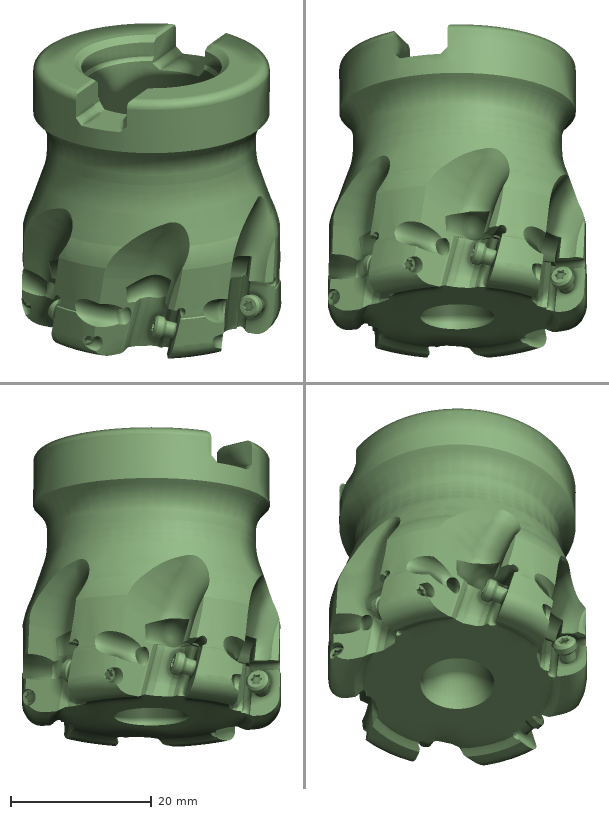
import cadquery as cq
import math


TEETH = 6
TOOTH_ANGLE = 360 / TEETH

TOTAL_HEIGHT = 39.23
FLANGE_RADIUS = 16.85
FLANGE_FILLET = 1.35
FLANGE_BOTTOM = 31.5
FLANGE_CHAMFER = 0.65
NECK_RADIUS = 14.9
NECK_TOP = 27.3
NECK_BOTTOM = 25.9
CONE_TOP_RADIUS = 15.77
CONE_TOP = 21.8
CONE_BOTTOM_RADIUS = 17.35
CONE_BOTTOM = 17.25
SHOULDER_RADIUS = 18.35
SHOULDER_TOP = 14.12
CROWN_DIAMETER = 37.0
CROWN_RADIUS = CROWN_DIAMETER / 2
CROWN_TOP = 6.63
CROWN_CORNER = 2.7
FLANGE_CURVE_BULGE = 0.45
NECK_CURVE_BULGE = 0.2
SHOULDER_BULGE = 0.1

THROUGH_RADIUS = 5.3
THROUGH_CHAMFER = 0.45
BORE_RADIUS = 9.55
BORE_STEP_HEIGHT = 27.85
LOWER_BORE_RADIUS = 9.2
BORE_FLOOR = 20.4
RIM_RADIUS = 10.05
RIM_BOTTOM = 36.33
RIM_CHAMFER_WIDTH = 1.05
RIM_CHAMFER_DEPTH = 0.8
RECESS_RADIUS = 13.55
RECESS_RIM_RADIUS = 14.7
RECESS_DEPTH = 0.6

SLOT_WIDTH = 8.1
SLOT_DEPTH = 4.8
SLOT_FLOOR_CHAMFER = 1.0
SLOT_EDGE_CHAMFER = 0.35

FLUTE_OUT = 13.75
FLUTE_SIDE = -2.63
FLUTE_HEIGHT = 11.2
FLUTE_LEAN = 15
FLUTE_FLOOR_TILT = 27
FLUTE_FILLET = 3.15
FLUTE_UNDERCUT = 42
FLUTE_WALL_SLOPE = 0.3
FLUTE_WALL = 9.4
FLUTE_WIDTH = 15.7
FLUTE_LENGTH = 17.65
RUNOUT_RADIUS = 19.6
RUNOUT_ANGLE = 27
RUNOUT_LENGTH = 11.75

SEAT_SIDE = 1.18
SEAT_LEAN = 0.25
POCKET_FLOOR = 12.28
POCKET_TOP = 8.05
POCKET_FLOOR_START = -3.15
POCKET_LEAD_WIDTH = 1.18
POCKET_LEAD_RISE = 0.4
POCKET_SIDE_START = -5.9
POCKET_SIDE_RISE = 2.08
GROOVE_STEP_WIDTH = 2.15
POCKET_OUTSIDE = 23.55
END_RELIEF_RADIUS = 2.08
END_RELIEF_MIDDLE = cq.Vector(12.95, 0, 9.8)
END_RELIEF_LEAD = cq.Vector(15.7, -3.55, 9.02)
END_RELIEF_SEAT = cq.Vector(14.9, 1.37, 9.4)
GROOVE_OUT = 13.65
GROOVE_RADIUS = 0.65
CORNER_RELIEF_HEIGHT = 7.7
CORNER_RELIEF_SIDE = 2.9

SCREW_OUT = 15.77
SCREW_SIDE = -0.9
SCREW_HEIGHT = 4.83
SCREW_HEAD_RADIUS = 1.65
SCREW_HEAD_EDGE = 0.35
SCREW_HEAD_LENGTH = 1.25
SCREW_NECK_LENGTH = 0.47
SCREW_SHANK_RADIUS = 1.18
SCREW_LENGTH = 8.65
SCREW_HOLE_LENGTH = 15.7
SOCKET_RADIUS = 0.65
SOCKET_LOBE_RADIUS = 0.2
SOCKET_DEPTH = 0.6
SOCKET_LOBES = 6
ACCESS_RADIUS = 1.8
ACCESS_LENGTH = 17.65
COOLANT_RADIUS = 1.05
COOLANT_INLET_RADIUS = 7.9
COOLANT_INLET_ANGLE = -77
COOLANT_OUT = 14.12
COOLANT_SIDE = -4.83
COOLANT_HEIGHT = 5.73

MARGIN = 0.8


def cylinder_between(start, end, radius):
    axis = end - start
    return cq.Workplane(cq.Solid.makeCylinder(radius, axis.Length, start, axis))


def arc_middle(start, end, bulge):
    """Middle of an arc that bulges to the right of the direction from start to end."""
    run, rise = end[0] - start[0], end[1] - start[1]
    length = math.hypot(run, rise)
    return (
        (start[0] + end[0]) / 2 + bulge * rise / length,
        (start[1] + end[1]) / 2 - bulge * run / length,
    )


def turned_body():
    crown_step = CROWN_RADIUS - SHOULDER_RADIUS
    corner_inset = CROWN_CORNER * (1 - math.sqrt(0.5))
    shoulder_start = (SHOULDER_RADIUS, SHOULDER_TOP)
    cone_bottom = (CONE_BOTTOM_RADIUS, CONE_BOTTOM)
    cone_top = (CONE_TOP_RADIUS, CONE_TOP)
    neck_bottom = (NECK_RADIUS, NECK_BOTTOM)
    neck_top = (NECK_RADIUS, NECK_TOP)
    flange_start = (FLANGE_RADIUS - FLANGE_CHAMFER, FLANGE_BOTTOM - FLANGE_CHAMFER)
    body = (
        cq.Workplane("XZ")
        .moveTo(0, 0)
        .lineTo(CROWN_RADIUS - CROWN_CORNER, 0)
        .threePointArc((CROWN_RADIUS - corner_inset, corner_inset), (CROWN_RADIUS, CROWN_CORNER))
        .lineTo(CROWN_RADIUS, CROWN_TOP)
        .lineTo(SHOULDER_RADIUS, CROWN_TOP + crown_step)
        .lineTo(*shoulder_start)
        .threePointArc(arc_middle(shoulder_start, cone_bottom, SHOULDER_BULGE), cone_bottom)
        .lineTo(*cone_top)
        .threePointArc(arc_middle(cone_top, neck_bottom, -NECK_CURVE_BULGE), neck_bottom)
        .lineTo(*neck_top)
        .threePointArc(arc_middle(neck_top, flange_start, -FLANGE_CURVE_BULGE), flange_start)
        .lineTo(FLANGE_RADIUS, FLANGE_BOTTOM)
        .lineTo(FLANGE_RADIUS, TOTAL_HEIGHT)
        .lineTo(0, TOTAL_HEIGHT)
        .close()
        .revolve(360, (0, 0), (0, 1))
    )
    return body.faces(">Z").edges().fillet(FLANGE_FILLET)


def bore():
    return (
        cq.Workplane("XZ")
        .moveTo(0, 0)
        .lineTo(RECESS_RIM_RADIUS, 0)
        .lineTo(RECESS_RADIUS, RECESS_DEPTH)
        .lineTo(THROUGH_RADIUS, RECESS_DEPTH)
        .lineTo(THROUGH_RADIUS, BORE_FLOOR - THROUGH_CHAMFER)
        .lineTo(THROUGH_RADIUS + THROUGH_CHAMFER, BORE_FLOOR)
        .lineTo(LOWER_BORE_RADIUS, BORE_FLOOR)
        .lineTo(LOWER_BORE_RADIUS, BORE_STEP_HEIGHT)
        .lineTo(BORE_RADIUS, BORE_STEP_HEIGHT)
        .lineTo(BORE_RADIUS, RIM_BOTTOM - (RIM_RADIUS - BORE_RADIUS))
        .lineTo(RIM_RADIUS, RIM_BOTTOM)
        .lineTo(RIM_RADIUS, TOTAL_HEIGHT - RIM_CHAMFER_DEPTH)
        .lineTo(RIM_RADIUS + RIM_CHAMFER_WIDTH, TOTAL_HEIGHT)
        .lineTo(0, TOTAL_HEIGHT)
        .close()
        .revolve(360, (0, 0), (0, 1))
    )


def drive_slot():
    half = SLOT_WIDTH / 2
    floor = TOTAL_HEIGHT - SLOT_DEPTH
    right_side = [
        (half - SLOT_FLOOR_CHAMFER, floor),
        (half, floor + SLOT_FLOOR_CHAMFER),
        (half, TOTAL_HEIGHT - SLOT_EDGE_CHAMFER),
        (half + SLOT_EDGE_CHAMFER, TOTAL_HEIGHT),
    ]
    left_side = [(-x, z) for x, z in reversed(right_side)]
    outline = cq.Workplane("XZ").polyline(right_side + left_side).close()
    return outline.extrude(FLANGE_RADIUS + MARGIN, both=True)


def chip_flute():
    """Leaning groove with a tilted floor and one filleted wall, running out along an arc."""
    lean = math.tan(math.radians(FLUTE_LEAN))
    tilt = math.radians(FLUTE_FLOOR_TILT)
    corner = cq.Vector(FLUTE_OUT, FLUTE_SIDE, FLUTE_HEIGHT)
    along = cq.Vector(0, lean, 1).normalized()
    across = cq.Vector(math.sin(tilt), -math.cos(tilt), math.cos(tilt) * lean).normalized()
    outward = along.cross(across)

    turn = math.radians(RUNOUT_ANGLE)
    arc_middle_point = (
        RUNOUT_RADIUS * math.sin(turn / 2),
        RUNOUT_RADIUS * (1 - math.cos(turn / 2)),
    )
    arc_end = (RUNOUT_RADIUS * math.sin(turn), RUNOUT_RADIUS * (1 - math.cos(turn)))
    path = (
        cq.Workplane(cq.Plane(corner, along, along.cross(outward)))
        .moveTo(-FLUTE_LENGTH, 0)
        .lineTo(0, 0)
        .threePointArc(arc_middle_point, arc_end)
        .line(RUNOUT_LENGTH * math.cos(turn), RUNOUT_LENGTH * math.sin(turn))
    )
    undercut = math.radians(FLUTE_UNDERCUT)
    fillet_middle = undercut / 2 - math.pi / 4
    fillet_top = (-FLUTE_FILLET * math.cos(undercut), FLUTE_FILLET * (1 + math.sin(undercut)))
    wall_top = fillet_top[0] - FLUTE_WALL_SLOPE * (FLUTE_WALL - fillet_top[1])
    return (
        cq.Workplane(cq.Plane(corner - along * FLUTE_LENGTH, across, along))
        .moveTo(FLUTE_WIDTH, 0)
        .lineTo(0, 0)
        .threePointArc(
            (-FLUTE_FILLET * math.cos(fillet_middle), FLUTE_FILLET * (1 + math.sin(fillet_middle))),
            fillet_top,
        )
        .lineTo(wall_top, FLUTE_WALL)
        .lineTo(FLUTE_WIDTH, FLUTE_WALL)
        .close()
        .sweep(path)
    )


def insert_pocket():
    """Leaning pocket whose +Y wall is the insert seat, with a rounded end and relief grooves."""
    outline = [
        (POCKET_FLOOR + POCKET_SIDE_RISE, POCKET_SIDE_START),
        (POCKET_FLOOR + POCKET_LEAD_RISE, POCKET_FLOOR_START - POCKET_LEAD_WIDTH),
        (POCKET_FLOOR, POCKET_FLOOR_START),
        (POCKET_FLOOR, SEAT_SIDE - GROOVE_STEP_WIDTH),
        (POCKET_FLOOR + POCKET_LEAD_RISE, SEAT_SIDE - 2 * GROOVE_RADIUS),
        (GROOVE_OUT, SEAT_SIDE - GROOVE_RADIUS),
        (GROOVE_OUT, SEAT_SIDE),
        (POCKET_OUTSIDE, SEAT_SIDE),
        (POCKET_OUTSIDE, POCKET_SIDE_START),
    ]
    lean = cq.Vector(0, SEAT_LEAN, 1)
    wire = cq.Workplane("XY").polyline(outline).close().val()
    pocket = cq.Workplane(cq.Solid.extrudeLinear(wire, [], lean * POCKET_TOP))

    end_relief = cq.Workplane("XY").sphere(END_RELIEF_RADIUS).translate(END_RELIEF_MIDDLE)
    for branch_end in (END_RELIEF_LEAD, END_RELIEF_SEAT):
        end_relief = end_relief.union(cylinder_between(END_RELIEF_MIDDLE, branch_end, END_RELIEF_RADIUS))

    groove_start = cq.Vector(GROOVE_OUT, SEAT_SIDE - GROOVE_RADIUS / 2, 0)
    groove = cylinder_between(groove_start, groove_start + lean * POCKET_TOP, GROOVE_RADIUS)
    relief = cylinder_between(
        cq.Vector(GROOVE_OUT, CORNER_RELIEF_SIDE, CORNER_RELIEF_HEIGHT),
        cq.Vector(POCKET_OUTSIDE, CORNER_RELIEF_SIDE, CORNER_RELIEF_HEIGHT),
        GROOVE_RADIUS,
    )
    return pocket.union(end_relief).union(groove).union(relief)


SCREW_START = cq.Vector(SCREW_OUT, SCREW_SIDE, SCREW_HEIGHT)
SCREW_AXIS = cq.Vector(0, 1, -SEAT_LEAN).normalized()


def screw_hole():
    """Hole for the screw, square to the seat and out through the back of the tooth."""
    return cylinder_between(SCREW_START, SCREW_START + SCREW_AXIS * SCREW_HOLE_LENGTH, SCREW_SHANK_RADIUS)


def access_cut():
    """Clearance for the screwdriver across the back of the tooth ahead."""
    return cylinder_between(SCREW_START, SCREW_START - SCREW_AXIS * ACCESS_LENGTH, ACCESS_RADIUS)


def coolant_hole():
    """Slanted hole from the bore floor to the flute."""
    angle = math.radians(COOLANT_INLET_ANGLE)
    inlet = cq.Vector(
        COOLANT_INLET_RADIUS * math.cos(angle),
        COOLANT_INLET_RADIUS * math.sin(angle),
        BORE_FLOOR,
    )
    outlet = cq.Vector(COOLANT_OUT, COOLANT_SIDE, COOLANT_HEIGHT)
    overshoot = (outlet - inlet).normalized() * MARGIN
    return cylinder_between(inlet - overshoot, outlet + overshoot, COOLANT_RADIUS)


def clamping_screw():
    """Screw along +Z from its head face, with a six-lobe socket in each end, then moved into its seat."""
    head_end = SCREW_HEAD_LENGTH + SCREW_NECK_LENGTH
    outline = [
        (0, 0),
        (SCREW_HEAD_RADIUS - SCREW_HEAD_EDGE, 0),
        (SCREW_HEAD_RADIUS, SCREW_HEAD_EDGE),
        (SCREW_HEAD_RADIUS, SCREW_HEAD_LENGTH),
        (SCREW_SHANK_RADIUS, head_end),
        (SCREW_SHANK_RADIUS, SCREW_LENGTH),
        (0, SCREW_LENGTH),
    ]
    screw = cq.Workplane("XZ").polyline(outline).close().revolve(360, (0, 0), (0, 1))
    socket = cq.Workplane("XY").circle(SOCKET_RADIUS).extrude(SOCKET_DEPTH)
    lobes = (
        cq.Workplane("XY")
        .polarArray(SOCKET_RADIUS, 0, 360, SOCKET_LOBES)
        .circle(SOCKET_LOBE_RADIUS)
        .extrude(SOCKET_DEPTH)
    )
    front_socket = socket.union(lobes)
    back_socket = front_socket.translate((0, 0, SCREW_LENGTH - SOCKET_DEPTH))
    screw = screw.cut(front_socket).cut(back_socket)
    seat = cq.Plane(SCREW_START, (1, 0, 0), SCREW_AXIS)
    return screw.val().moved(cq.Location(seat))


def around_axis(shape, index):
    return shape.rotate(cq.Vector(0, 0, 0), cq.Vector(0, 0, 1), index * TOOTH_ANGLE)


cutter_body = turned_body().cut(bore()).cut(drive_slot())
tooth_cuts = [chip_flute(), insert_pocket(), screw_hole(), access_cut(), coolant_hole()]
for tooth in range(TEETH):
    for tooth_cut in tooth_cuts:
        cutter_body = cutter_body.cut(around_axis(tooth_cut, tooth))

screw = clamping_screw()
screws = [around_axis(screw, tooth) for tooth in range(TEETH)]

result = cq.Compound.makeCompound([cutter_body.val(), *screws])